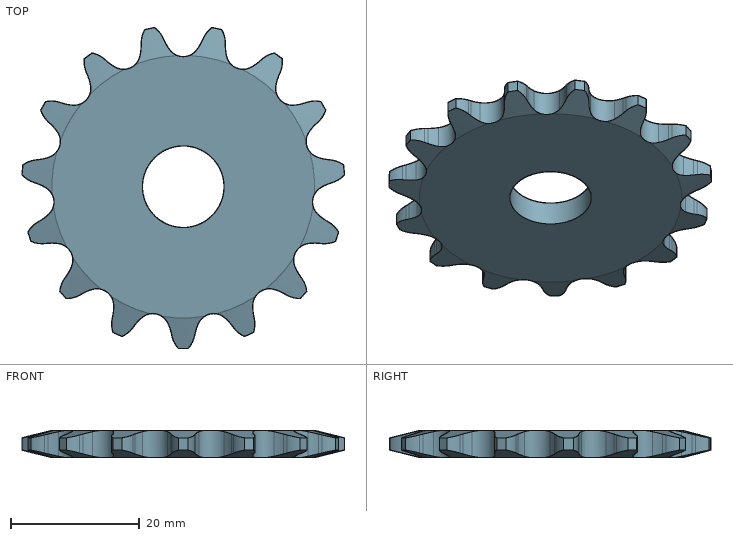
import cadquery as cq
import math

INCH = 25.4
TEETH = 15
CHAIN_PITCH = 0.375 * INCH
ROLLER_DIAMETER = 0.2 * INCH
SEATING_CLEARANCE = 0.003 * INCH
THICKNESS = 0.168 * INCH
BORE_DIAMETER = 0.5 * INCH

FACE_RADIUS = 20.5
TIP_THICKNESS = 1.9
RIM_OVERRUN = 1.0

TOOTH_ANGLE = 360 / TEETH
HALF_TOOTH_ANGLE = TOOTH_ANGLE / 2
PITCH_RADIUS = CHAIN_PITCH / (2 * math.sin(math.radians(HALF_TOOTH_ANGLE)))
OUTSIDE_RADIUS = CHAIN_PITCH * (0.6 + 1 / math.tan(math.radians(HALF_TOOTH_ANGLE))) / 2

SEATING_RADIUS = (1.005 * ROLLER_DIAMETER + SEATING_CLEARANCE) / 2
WORKING_OFFSET = 0.8 * ROLLER_DIAMETER
WORKING_RADIUS = SEATING_RADIUS + WORKING_OFFSET
TOPPING_OFFSET = 1.4 * ROLLER_DIAMETER
SEATING_ANGLE = 35 + 60 / TEETH
WORKING_ANGLE = 18 - 56 / TEETH
TOPPING_ANGLE = 17 - 64 / TEETH
FLANK_ANGLE = SEATING_ANGLE - WORKING_ANGLE
TOPPING_RADIUS = (
    WORKING_OFFSET * math.cos(math.radians(WORKING_ANGLE))
    + TOPPING_OFFSET * math.cos(math.radians(TOPPING_ANGLE))
    - WORKING_RADIUS
)


def polar(radius, degrees, center=(0, 0)):
    """Point at a distance and direction from a center."""
    angle = math.radians(degrees)
    return (center[0] + radius * math.cos(angle), center[1] + radius * math.sin(angle))


def rotated(point, degrees):
    """Point turned about the sprocket axis."""
    direction = math.degrees(math.atan2(point[1], point[0]))
    return polar(math.hypot(*point), direction + degrees)


def tip_point(center):
    """Point where the topping curve around center meets the outside circle."""
    distance = math.hypot(*center)
    cosine = (distance**2 + OUTSIDE_RADIUS**2 - TOPPING_RADIUS**2) / (2 * distance * OUTSIDE_RADIUS)
    direction = math.degrees(math.atan2(center[1], center[0]))
    return polar(OUTSIDE_RADIUS, direction + math.degrees(math.acos(cosine)))


def right_flank():
    """Flank points from the seating curve out to the tip, right of the gap centred on +Y."""
    roller_center = (0, PITCH_RADIUS)
    working_center = polar(WORKING_OFFSET, 180 - SEATING_ANGLE, roller_center)
    topping_center = polar(TOPPING_OFFSET, -HALF_TOOTH_ANGLE, roller_center)
    tip = tip_point(topping_center)
    topping_start_angle = 180 - FLANK_ANGLE
    topping_end_angle = math.degrees(math.atan2(tip[1] - topping_center[1], tip[0] - topping_center[0]))
    topping_middle_angle = (topping_start_angle + topping_end_angle) / 2

    working_start = polar(SEATING_RADIUS, -SEATING_ANGLE, roller_center)
    working_middle = polar(WORKING_RADIUS, -SEATING_ANGLE + WORKING_ANGLE / 2, working_center)
    working_end = polar(WORKING_RADIUS, -FLANK_ANGLE, working_center)
    topping_start = polar(TOPPING_RADIUS, topping_start_angle, topping_center)
    topping_middle = polar(TOPPING_RADIUS, topping_middle_angle, topping_center)
    return [working_start, working_middle, working_end, topping_start, topping_middle, tip]


def tooth_plate():
    """Toothed disc of full thickness, before the faces are tapered."""
    right_side = right_flank()
    left_side = [(-x, y) for x, y in reversed(right_side)]
    gap_bottom = (0, PITCH_RADIUS - SEATING_RADIUS)
    outline = cq.Workplane("XY").workplane(offset=-THICKNESS / 2).moveTo(*left_side[0])
    for index in range(TEETH):
        turn = -index * TOOTH_ANGLE
        _, left_topping, left_flank_top, left_flank_foot, left_working, seat_start = [
            rotated(point, turn) for point in left_side
        ]
        seat_end, right_working, right_flank_foot, right_flank_top, right_topping, tip_start = [
            rotated(point, turn) for point in right_side
        ]
        seat_middle = rotated(gap_bottom, turn)
        tip_middle = rotated((0, OUTSIDE_RADIUS), turn - HALF_TOOTH_ANGLE)
        tip_end = rotated(left_side[0], turn - TOOTH_ANGLE)
        outline = (
            outline.threePointArc(left_topping, left_flank_top)
            .lineTo(*left_flank_foot)
            .threePointArc(left_working, seat_start)
            .threePointArc(seat_middle, seat_end)
            .threePointArc(right_working, right_flank_foot)
            .lineTo(*right_flank_top)
            .threePointArc(right_topping, tip_start)
            .threePointArc(tip_middle, tip_end)
        )
    return outline.close().extrude(THICKNESS)


def tapered_envelope():
    """Disc with conical rims that thins the teeth toward their tips."""
    half_thickness = THICKNESS / 2
    half_tip = TIP_THICKNESS / 2
    taper_slope = (half_thickness - half_tip) / (OUTSIDE_RADIUS - FACE_RADIUS)
    rim_radius = OUTSIDE_RADIUS + RIM_OVERRUN
    half_rim = half_tip - taper_slope * RIM_OVERRUN
    profile = [
        (0, -half_thickness),
        (FACE_RADIUS, -half_thickness),
        (rim_radius, -half_rim),
        (rim_radius, half_rim),
        (FACE_RADIUS, half_thickness),
        (0, half_thickness),
    ]
    return cq.Workplane("XZ").polyline(profile).close().revolve(360, (0, 0, 0), (0, 1, 0))


def bore():
    """Cylinder removed for the shaft."""
    bottom = cq.Workplane("XY").workplane(offset=-THICKNESS / 2)
    return bottom.circle(BORE_DIAMETER / 2).extrude(THICKNESS)


result = tooth_plate().intersect(tapered_envelope()).cut(bore())